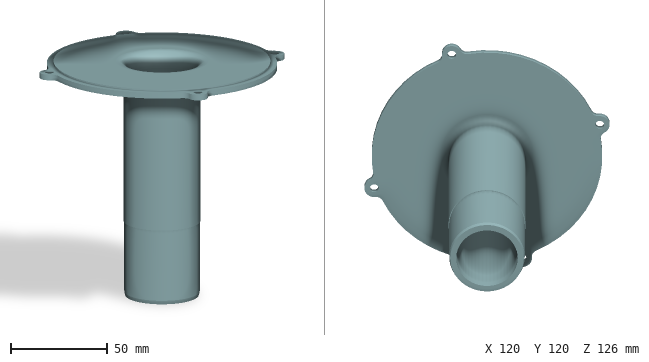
import cadquery as cq
import math

total_height = 126.0
flange_thickness = 4.0
face_height = 1.0

flange_radius = 60.0
face_radius = 56.5

tube_radius = 20.0
bore_radius = 16.0
wall_thickness = tube_radius - bore_radius
neck_radius = 4.0
throat_radius = neck_radius + wall_thickness
spigot_radius = 19.7
spigot_length = 40.0
tip_chamfer_height = 2.0
tip_chamfer_width = 0.5

ear_count = 4
first_ear_angle = 45
ear_circle_radius = 61.5
ear_radius = 5.0
ear_hole_diameter = 4.5
ear_blend_radius = 4.0

ledge_z = -face_height
underside_z = -flange_thickness
bottom_z = -total_height
flare_center_radius = bore_radius + throat_radius
flare_center_z = -throat_radius


def flare_midpoint(radius):
    """Middle of a quarter arc around the shared centre of both flares."""
    offset = radius * math.sqrt(0.5)
    return (flare_center_radius - offset, flare_center_z + offset)


def flared_tube():
    """Revolve the raised face, flared throat and stepped tube about Z."""
    spigot_top_z = bottom_z + spigot_length
    profile = (
        cq.Workplane("XZ")
        .moveTo(flare_center_radius, 0)
        .lineTo(face_radius, 0)
        .lineTo(face_radius, ledge_z)
        .lineTo(flange_radius, ledge_z)
        .lineTo(flange_radius, underside_z)
        .lineTo(flare_center_radius, underside_z)
        .threePointArc(flare_midpoint(neck_radius), (tube_radius, flare_center_z))
        .lineTo(tube_radius, spigot_top_z)
        .lineTo(spigot_radius, spigot_top_z)
        .lineTo(spigot_radius, bottom_z + tip_chamfer_height)
        .lineTo(spigot_radius - tip_chamfer_width, bottom_z)
        .lineTo(bore_radius, bottom_z)
        .lineTo(bore_radius, flare_center_z)
        .threePointArc(flare_midpoint(throat_radius), (flare_center_radius, 0))
        .close()
    )
    return profile.revolve(360, (0, 0, 0), (0, 1, 0))


def ear():
    """One ear on the +X side, blended into the flange rim by concave arcs."""
    rim_reach = flange_radius + ear_blend_radius
    ear_reach = ear_radius + ear_blend_radius
    blend_x = (rim_reach**2 - ear_reach**2 + ear_circle_radius**2) / (2 * ear_circle_radius)
    blend_y = math.sqrt(rim_reach**2 - blend_x**2)

    rim_x = blend_x * flange_radius / rim_reach
    rim_y = blend_y * flange_radius / rim_reach
    ear_x = ear_circle_radius + (blend_x - ear_circle_radius) * ear_radius / ear_reach
    ear_y = blend_y * ear_radius / ear_reach

    chord_x = (rim_x + ear_x) / 2 - blend_x
    chord_y = (rim_y + ear_y) / 2 - blend_y
    stretch = ear_blend_radius / math.hypot(chord_x, chord_y)
    mid_x = blend_x + chord_x * stretch
    mid_y = blend_y + chord_y * stretch

    root_x = face_radius - ear_radius
    return (
        cq.Workplane("XY")
        .workplane(offset=underside_z)
        .moveTo(root_x, -rim_y)
        .lineTo(rim_x, -rim_y)
        .threePointArc((mid_x, -mid_y), (ear_x, -ear_y))
        .threePointArc((ear_circle_radius + ear_radius, 0), (ear_x, ear_y))
        .threePointArc((mid_x, mid_y), (rim_x, rim_y))
        .lineTo(root_x, rim_y)
        .close()
        .extrude(ledge_z - underside_z)
    )


def ear_holes():
    """Cutters through the flange at every ear."""
    return (
        cq.Workplane("XY")
        .workplane(offset=underside_z)
        .polarArray(ear_circle_radius, first_ear_angle, 360, ear_count)
        .circle(ear_hole_diameter / 2)
        .extrude(flange_thickness)
    )


result = flared_tube()
for index in range(ear_count):
    angle = first_ear_angle + index * 360 / ear_count
    result = result.union(ear().rotate((0, 0, 0), (0, 0, 1), angle))
result = result.cut(ear_holes())